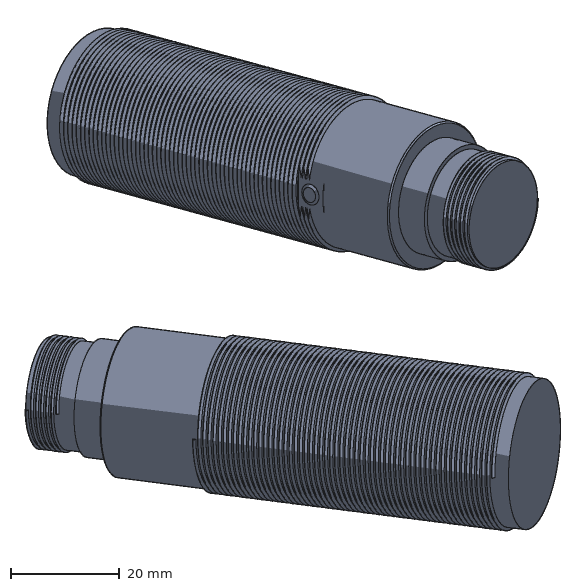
import cadquery as cq

barrel_radius = 14.0
barrel_end = 80.0
barrel_chamfer = 0.3
collar_radius = 11.0
collar_end = 86.0
neck_radius = 10.2
total_length = 96.0
thread_overhang = 0.2
neck_end = total_length - thread_overhang

ridge_width = 0.9
ridge_embed = 0.2
barrel_crest_radius = 14.7
barrel_thread_start = 3.0
barrel_thread_length = 58.5
barrel_thread_turns = 59
pitch = barrel_thread_length / barrel_thread_turns
plug_crest_radius = 10.7
plug_thread_turns = 6
plug_thread_start = total_length - ridge_width / 2 - plug_thread_turns * pitch

first_turns = 4
last_turns = 8
turns_before_joint = 1.5
middle_turns = barrel_thread_turns - last_turns
last_turns_start = barrel_thread_start + middle_turns * pitch
head_joint = barrel_thread_start + turns_before_joint * pitch
tail_joint = last_turns_start + turns_before_joint * pitch

flat_distance = 13.7
flat_start = 58.7
flat_end = 64.6
lamp_x = 61.4
lamp_base_radius = 2.0
lamp_top_radius = 1.4
lamp_height = barrel_radius - flat_distance


def cylinder(start, end, radius):
    """Cylinder on the X axis between two X positions."""
    return cq.Workplane("YZ").workplane(offset=start).circle(radius).extrude(end - start)


def thread_ridge(start, turns, root_radius, crest_radius):
    """Right-handed V ridge around the X axis, its foot sunk into the core cylinder."""
    foot_radius = root_radius - ridge_embed
    foot_half_width = ridge_width / 2
    helix = cq.Workplane(cq.Wire.makeHelix(pitch, turns * pitch, root_radius))
    ridge = (
        cq.Workplane("XZ")
        .polyline([(foot_radius, -foot_half_width), (crest_radius, 0), (foot_radius, foot_half_width)])
        .close()
        .sweep(helix, isFrenet=True)
    )
    ridge = ridge.rotate((0, 0, 0), (0, 0, 1), 90).rotate((0, 0, 0), (0, 1, 0), 90)
    return ridge.translate((start, 0, 0))


def lamp_flat():
    """Cutter that leaves a flat on the -Y side, across the end of the thread."""
    depth = barrel_crest_radius
    width = 2 * barrel_crest_radius
    return (
        cq.Workplane("XY")
        .box(flat_end - flat_start, depth, width, centered=(False, False, True))
        .translate((flat_start, -flat_distance - depth, 0))
    )


def lamp():
    """Low cone frustum standing on the flat."""
    base = cq.Workplane("XZ", origin=(lamp_x, -flat_distance, 0))
    return base.circle(lamp_base_radius).workplane(offset=lamp_height).circle(lamp_top_radius).loft()


def slice_between(body, start, end):
    """The part of a body that lies between two X positions."""
    size = 4 * barrel_radius
    slab = cq.Workplane("YZ").workplane(offset=start).rect(size, size).extrude(end - start)
    return body.intersect(slab, clean=False)


barrel = cylinder(0, barrel_end, barrel_radius).faces(">X").chamfer(barrel_chamfer)
collar = cylinder(barrel_end, collar_end, collar_radius)
neck = cylinder(collar_end, neck_end, neck_radius)
core = barrel.cut(lamp_flat()).union(lamp()).union(collar).union(neck)

first_ridge = thread_ridge(barrel_thread_start, first_turns, barrel_radius, barrel_crest_radius)
last_ridge = thread_ridge(last_turns_start, last_turns, barrel_radius, barrel_crest_radius)
plug_ridge = thread_ridge(plug_thread_start, plug_thread_turns, neck_radius, plug_crest_radius)
body = core.union(plug_ridge, clean=False).union(first_ridge, clean=False)
body = body.union(last_ridge.cut(lamp_flat(), clean=False), clean=False)

head = slice_between(body, 0, head_joint)
middle = slice_between(body, head_joint, head_joint + pitch)
tail = slice_between(body, tail_joint, total_length)

outer_faces = head.faces("not >X").vals() + tail.faces("not <X").vals()
middle_faces = middle.faces("not (<X or >X)").vals()
for turn in range(middle_turns):
    step = cq.Location(cq.Vector(turn * pitch, 0, 0))
    outer_faces += [face.moved(step) for face in middle_faces]

result = cq.Workplane(cq.Solid.makeSolid(cq.Shell.makeShell(outer_faces)))